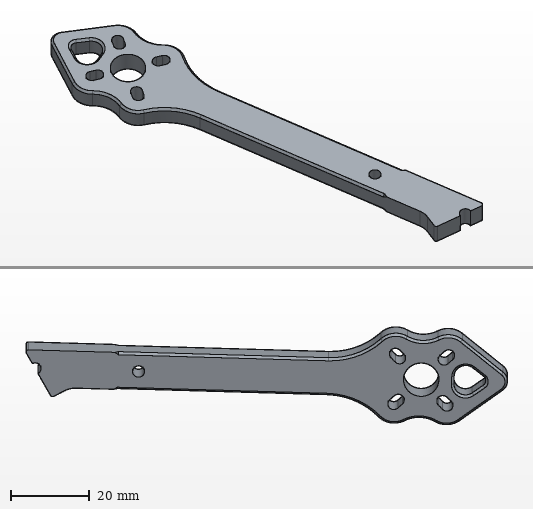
import cadquery as cq
import math

ARM_ANGLE = 30
THICKNESS = 6.0
BEVEL = 0.6

ARM_HALF_WIDTH = 5.0
ROOT_X = 85.2
ROOT_BOTTOM_Y = 40.3
ROOT_CORNER_RADIUS = 0.6
ROOT_BLEND_RADIUS = 5.2
BEVEL_END = 77.3
BEVEL_RUNOUT = 0.9

LOBE_DISTANCE = 9.4
LOBE_RADIUS = 5.5
WAIST_RADIUS = 7.9
SHOULDER_RADIUS = 18.5
NOSE_DISTANCE = 18.8
NOSE_RADIUS = 3.1

MOTOR_HOLE_DIAMETER = 9.0
SCREW_DIAMETER = 3.0
SLOT_DISTANCE = 8.8
SLOT_START_ANGLE = 45
SLOT_COUNT = 4
SLOT_LENGTH = 4.6
PILOT_DISTANCE = 72.0
WINDOW_NOSE_DISTANCE = 14.9
WINDOW_NOSE_RADIUS = 2.2
WINDOW_CORNER_DISTANCE = 11.3
WINDOW_CORNER_OFFSET = 1.0
WINDOW_CORNER_RADIUS = 3.6


def toward(start, end, distance):
    """Point at the given distance from start on the ray to end."""
    ratio = distance / math.dist(start, end)
    return (start[0] + ratio * (end[0] - start[0]), start[1] + ratio * (end[1] - start[1]))


def polar(center, radius, angle):
    return (center[0] + radius * math.cos(angle), center[1] + radius * math.sin(angle))


def mirrored(point):
    return (point[0], -point[1])


def belt_angle(nose, nose_radius, corner, corner_radius):
    """Direction from both centres to the tangent points of their upper outer tangent."""
    heading = math.atan2(corner[1] - nose[1], corner[0] - nose[0])
    return heading + math.acos((nose_radius - corner_radius) / math.dist(nose, corner))


def arc_middle(center, radius, start, end):
    """Middle point of the short arc from start to end."""
    chord_middle = ((start[0] + end[0]) / 2, (start[1] + end[1]) / 2)
    return toward(center, chord_middle, radius)


def head_and_arm(arm_end):
    """Head and straight arm, closed by a square end at arm_end."""
    lobe_offset = LOBE_DISTANCE / math.sqrt(2)
    rear_lobe = (-lobe_offset, lobe_offset)
    front_lobe = (lobe_offset, lobe_offset)
    nose = (-NOSE_DISTANCE, 0)

    blend_reach = LOBE_RADIUS + WAIST_RADIUS
    waist = (0, lobe_offset + math.sqrt(blend_reach**2 - lobe_offset**2))
    shoulder_y = ARM_HALF_WIDTH + SHOULDER_RADIUS
    shoulder_reach = LOBE_RADIUS + SHOULDER_RADIUS
    shoulder_x = lobe_offset + math.sqrt(shoulder_reach**2 - (shoulder_y - lobe_offset) ** 2)
    shoulder = (shoulder_x, shoulder_y)

    rear_angle = belt_angle(nose, NOSE_RADIUS, rear_lobe, LOBE_RADIUS)
    nose_end = polar(nose, NOSE_RADIUS, rear_angle)
    rear_start = polar(rear_lobe, LOBE_RADIUS, rear_angle)
    rear_end = toward(rear_lobe, waist, LOBE_RADIUS)
    front_start = toward(front_lobe, waist, LOBE_RADIUS)
    front_end = toward(front_lobe, shoulder, LOBE_RADIUS)
    arm_start = (shoulder_x, ARM_HALF_WIDTH)

    arcs = [
        (rear_start, arc_middle(rear_lobe, LOBE_RADIUS, rear_start, rear_end), rear_end),
        (rear_end, arc_middle(waist, WAIST_RADIUS, rear_end, front_start), front_start),
        (front_start, arc_middle(front_lobe, LOBE_RADIUS, front_start, front_end), front_end),
        (front_end, arc_middle(shoulder, SHOULDER_RADIUS, front_end, arm_start), arm_start),
    ]
    outline = cq.Workplane("XY").moveTo(*mirrored(nose_end))
    outline = outline.threePointArc((-NOSE_DISTANCE - NOSE_RADIUS, 0), nose_end).lineTo(*rear_start)
    for _, middle, end in arcs:
        outline = outline.threePointArc(middle, end)
    outline = outline.lineTo(arm_end, ARM_HALF_WIDTH).lineTo(arm_end, -ARM_HALF_WIDTH)
    outline = outline.lineTo(*mirrored(arm_start))
    for start, middle, _ in reversed(arcs):
        outline = outline.threePointArc(mirrored(middle), mirrored(start))
    body = outline.close().extrude(THICKNESS)
    return body.faces("<Z or >Z").edges("not >X").chamfer(BEVEL)


def arm_root():
    """Unbevelled end of the arm with its foot, in global directions."""
    tilt = math.radians(ARM_ANGLE)

    def to_global(x, y):
        return (
            x * math.cos(tilt) - y * math.sin(tilt),
            x * math.sin(tilt) + y * math.cos(tilt),
        )

    edge_height = ARM_HALF_WIDTH / math.cos(tilt)
    tip = (ROOT_X, ROOT_X * math.tan(tilt) + edge_height)
    heel = (ROOT_X, ROOT_BOTTOM_Y)
    blend = ((ROOT_BOTTOM_Y + edge_height) / math.tan(tilt), ROOT_BOTTOM_Y)
    upper_start = to_global(BEVEL_END, ARM_HALF_WIDTH)
    lower_start = to_global(BEVEL_END, -ARM_HALF_WIDTH)
    root = cq.Workplane("XY").polyline([lower_start, blend, heel, tip, upper_start]).close()
    root = root.extrude(THICKNESS)
    root = root.edges("|Z and >X").fillet(ROOT_CORNER_RADIUS)
    blend_edge = cq.selectors.NearestToPointSelector((*blend, THICKNESS / 2))
    root = root.edges("|Z").edges(blend_edge).fillet(ROOT_BLEND_RADIUS)
    notch = cq.Workplane("XY").center(ROOT_X, ROOT_X * math.tan(tilt))
    return root.cut(notch.circle(SCREW_DIAMETER / 2).extrude(THICKNESS))


def bevel_runout(side, face_z, inward):
    """Corner pyramid that fades one bevel out; inward is the Z direction into the arm."""
    outer_y = side * ARM_HALF_WIDTH
    corner = cq.Vector(BEVEL_END, outer_y, face_z)
    inner = cq.Vector(BEVEL_END, outer_y - side * BEVEL, face_z)
    deep = cq.Vector(BEVEL_END, outer_y, face_z + inward * BEVEL)
    apex = cq.Vector(BEVEL_END + BEVEL_RUNOUT, outer_y, face_z)
    triangles = [
        (corner, inner, deep),
        (corner, inner, apex),
        (corner, deep, apex),
        (inner, deep, apex),
    ]
    faces = [cq.Face.makeFromWires(cq.Wire.makePolygon(t, close=True)) for t in triangles]
    return cq.Workplane(cq.Solid.makeSolid(cq.Shell.makeShell(faces)))


def in_place(body):
    """Turn a body from the arm's own axes to its final direction."""
    return body.rotate((0, 0, 0), (0, 0, 1), ARM_ANGLE)


def window():
    """Rounded opening in the nose, flared by a bevel at both faces."""
    nose = (-WINDOW_NOSE_DISTANCE, 0)
    corner = (-WINDOW_CORNER_DISTANCE, WINDOW_CORNER_OFFSET)
    side_angle = belt_angle(nose, WINDOW_NOSE_RADIUS, corner, WINDOW_CORNER_RADIUS)

    def outline(inset, height):
        nose_radius = WINDOW_NOSE_RADIUS - inset
        corner_radius = WINDOW_CORNER_RADIUS - inset
        nose_end = polar(nose, nose_radius, side_angle)
        corner_start = polar(corner, corner_radius, side_angle)
        corner_middle = polar(corner, corner_radius, side_angle / 2)
        corner_end = polar(corner, corner_radius, 0)
        return (
            cq.Workplane("XY", origin=(0, 0, height))
            .moveTo(*mirrored(nose_end))
            .threePointArc((nose[0] - nose_radius, 0), nose_end)
            .lineTo(*corner_start)
            .threePointArc(corner_middle, corner_end)
            .lineTo(*mirrored(corner_end))
            .threePointArc(mirrored(corner_middle), mirrored(corner_start))
            .close()
        )

    opening = outline(BEVEL, 0).extrude(THICKNESS)
    flare_angle = 45
    top_flare = outline(0, THICKNESS).extrude(-BEVEL, taper=flare_angle)
    bottom_flare = outline(0, 0).extrude(BEVEL, taper=flare_angle)
    return opening.union(top_flare).union(bottom_flare)


def round_openings():
    """Motor hole, pilot hole and four radial screw slots."""
    holes = cq.Workplane("XY").circle(MOTOR_HOLE_DIAMETER / 2).extrude(THICKNESS)
    pilot = cq.Workplane("XY").center(PILOT_DISTANCE, 0).circle(SCREW_DIAMETER / 2)
    holes = holes.union(pilot.extrude(THICKNESS))
    slots = (
        cq.Workplane("XY")
        .polarArray(SLOT_DISTANCE, SLOT_START_ANGLE, 360, SLOT_COUNT)
        .slot2D(SLOT_LENGTH, SCREW_DIAMETER)
        .extrude(THICKNESS)
    )
    return holes.union(slots)


arm = head_and_arm(BEVEL_END).cut(round_openings()).cut(window())
result = in_place(arm).union(arm_root())
for side in (-1, 1):
    for face_z, inward in ((0, 1), (THICKNESS, -1)):
        result = result.cut(in_place(bevel_runout(side, face_z, inward)))
result = cq.Workplane(result.solids().val())